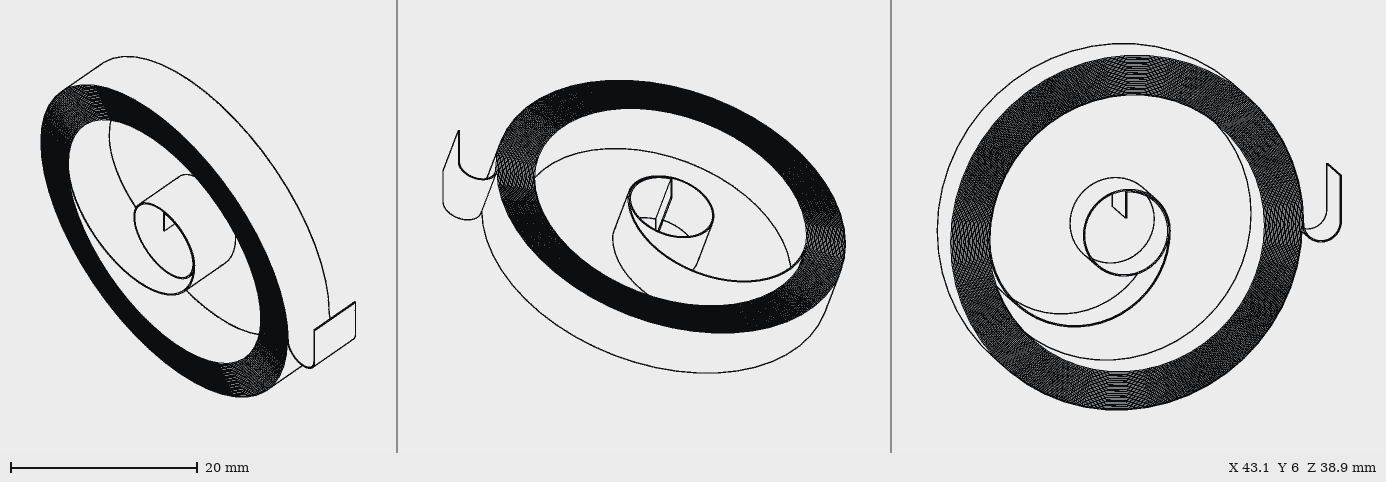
import cadquery as cq
import math

strip_width = 6.0
strip_thickness = 0.145
layer_gap = 0.00323625
pitch = strip_thickness + layer_gap
half_thickness = strip_thickness / 2

coil_outer_radius = 19.45
coil_layers = 29
outer_layer_radius = coil_outer_radius - half_thickness
inner_layer_radius = outer_layer_radius - (coil_layers - 1) * pitch

hub_radius = 4.57
hub_outer_radius = hub_radius + pitch
tab_left = -strip_thickness
tab_right = 0
tab_end_height = 1.65

hook_outer_x = 23.7
hook_inner_x = hook_outer_x - strip_thickness
hook_end_height = 5.05


def centreline_crossings():
    """X where the strip centreline crosses the X axis, from the hub outwards, right and left in turn."""
    crossings = [hub_radius, -hub_outer_radius, hub_outer_radius]
    for layer in range(coil_layers):
        layer_radius = inner_layer_radius + layer * pitch
        crossings += [-layer_radius, layer_radius + pitch / 2]
    return crossings


def face_crossings(offset):
    """Crossings of one face of the strip; a positive offset lies away from the coil centre."""
    return [x + offset * math.copysign(1, x) for x in centreline_crossings()]


def half_turn(outline, start_x, end_x, side):
    """Add a semicircle between two points on the X axis: side 1 is above it, -1 below it."""
    middle_x = (start_x + end_x) / 2
    radius = abs(end_x - start_x) / 2
    return outline.threePointArc((middle_x, side * radius), (end_x, 0))


def wind(outline, crossings, first_side):
    """Add semicircles through all the crossings, below and above the X axis in turn."""
    side = first_side
    for start_x, end_x in zip(crossings, crossings[1:]):
        outline = half_turn(outline, start_x, end_x, side)
        side = -side
    return outline


def circle_point(radius, degrees):
    """Point on a circle about the coil centre."""
    angle = math.radians(degrees)
    return (radius * math.cos(angle), radius * math.sin(angle))


def strip_outline():
    """Edge-on outline of the strip: out along its outer face and back along its inner face."""
    above, below = 1, -1
    outer_face = face_crossings(half_thickness)
    inner_face = face_crossings(-half_thickness)
    hub_outside = outer_face[0]
    hub_inside = inner_face[0]
    tab_top = math.sqrt(hub_outside**2 - tab_left**2)

    outline = (
        cq.Workplane("XZ")
        .moveTo(tab_right, tab_end_height)
        .lineTo(tab_left, tab_end_height)
        .lineTo(tab_left, tab_top)
        .threePointArc(circle_point(hub_outside, 45), (hub_outside, 0))
    )
    outline = wind(outline, outer_face, below)

    outline = half_turn(outline, outer_face[-1], hook_inner_x, below)
    outline = (
        outline.lineTo(hook_inner_x, hook_end_height)
        .lineTo(hook_outer_x, hook_end_height)
        .lineTo(hook_outer_x, 0)
    )
    outline = half_turn(outline, hook_outer_x, inner_face[-1], below)

    outline = wind(outline, inner_face[::-1], above)
    outline = outline.threePointArc(circle_point(hub_inside, 45), (tab_right, hub_inside))
    return outline.close()


result = strip_outline().extrude(strip_width)